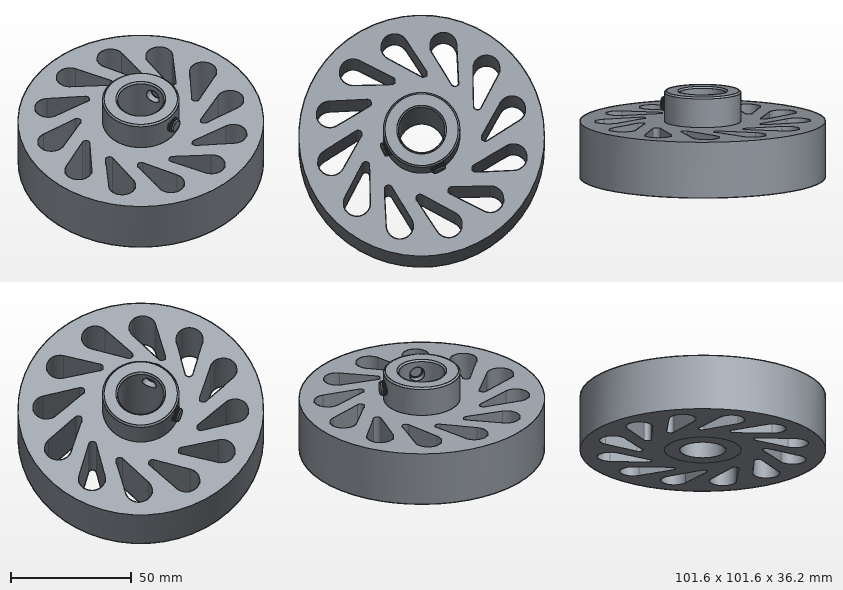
import cadquery as cq
import math

wheel_radius = 50.8
wheel_height = 23.5
slot_count = 12

slot_outer_radius = 5.6
slot_outer_center = cq.Vector(slot_outer_radius, 38.6)
slot_tip_radius = 1.6
slot_tip_center = cq.Vector(11.7, 23.6)

hub_radius = 15.8
hub_projection = 12.7
hub_height = wheel_height + hub_projection
bore_radius = 9.5
hub_chamfer = 0.7

screw_directions = [cq.Vector(1, 0, 0), cq.Vector(0, 1, 0)]
screw_axis_height = wheel_height + hub_projection / 2
screw_outer_end = 17.7
thread_crest_radius = 3.1
thread_root_radius = 2.5
lead_crest_radius = 2.9
thread_pitch = 0.9
thread_crest_flat = thread_pitch / 8
thread_root_flat = thread_pitch / 4
thread_count = 6
screw_end_land = 0.2
screw_length = thread_count * thread_pitch + 2 * screw_end_land


def make_slot_cutter():
    """Teardrop prism as tall as the wheel, bounded by two arcs and their common tangents."""
    axis = slot_tip_center - slot_outer_center
    axis_angle = math.atan2(axis.y, axis.x)
    tangent_angle = math.acos((slot_outer_radius - slot_tip_radius) / axis.Length)

    def rim_point(center, radius, angle):
        return center + cq.Vector(radius * math.cos(angle), radius * math.sin(angle))

    left = axis_angle + tangent_angle
    right = axis_angle - tangent_angle
    outer_left = rim_point(slot_outer_center, slot_outer_radius, left)
    outer_back = rim_point(slot_outer_center, slot_outer_radius, axis_angle + math.pi)
    outer_right = rim_point(slot_outer_center, slot_outer_radius, right)
    tip_left = rim_point(slot_tip_center, slot_tip_radius, left)
    tip_front = rim_point(slot_tip_center, slot_tip_radius, axis_angle)
    tip_right = rim_point(slot_tip_center, slot_tip_radius, right)

    return (
        cq.Workplane("XY")
        .moveTo(outer_left.x, outer_left.y)
        .threePointArc(outer_back.toTuple()[:2], outer_right.toTuple()[:2])
        .lineTo(tip_right.x, tip_right.y)
        .threePointArc(tip_front.toTuple()[:2], tip_left.toTuple()[:2])
        .close()
        .extrude(wheel_height)
    )


def make_wheel():
    """Disc with a hole for the hub and a ring of teardrop slots."""
    wheel = cq.Workplane("XY").circle(wheel_radius).circle(hub_radius).extrude(wheel_height)
    slot = make_slot_cutter()
    for i in range(slot_count):
        wheel = wheel.cut(slot.rotate((0, 0, 0), (0, 0, 1), i * 360 / slot_count))
    return wheel


def screw_plane(direction, distance):
    """Plane across a screw axis, at a distance from the wheel axis and facing outward."""
    origin = direction * distance + cq.Vector(0, 0, screw_axis_height)
    return cq.Plane(origin=origin, xDir=cq.Vector(0, 0, 1), normal=direction)


def make_hub():
    """Bored sleeve with both top edges chamfered and a radial hole for each set screw."""
    hub = cq.Workplane("XY").circle(hub_radius).circle(bore_radius).extrude(hub_height)
    hub = hub.faces(">Z").edges().chamfer(hub_chamfer)
    for direction in screw_directions:
        hole = cq.Workplane(screw_plane(direction, 0)).circle(thread_crest_radius).extrude(hub_radius)
        hub = hub.cut(hole)
    return hub


def make_set_screw(direction):
    """Set screw with ring-shaped threads; the outermost ring is lower and slopes down to the end face."""
    profile = [(0, 0), (thread_root_radius, 0)]
    for i in range(thread_count):
        is_lead = i == thread_count - 1
        crest_radius = lead_crest_radius if is_lead else thread_crest_radius
        start = screw_end_land + i * thread_pitch
        crest_middle = start + thread_pitch / 2
        flank_end = screw_length if is_lead else start + thread_pitch - thread_root_flat / 2
        profile += [
            (thread_root_radius, start + thread_root_flat / 2),
            (crest_radius, crest_middle - thread_crest_flat / 2),
            (crest_radius, crest_middle + thread_crest_flat / 2),
            (thread_root_radius, flank_end),
        ]
    profile.append((0, screw_length))

    turned = cq.Workplane("XZ").polyline(profile).close().revolve(360, (0, 0), (0, 1))
    inner_end = screw_plane(direction, screw_outer_end - screw_length)
    return turned.val().moved(cq.Location(inner_end))


wheel = make_wheel()
hub = make_hub()
set_screws = [make_set_screw(direction) for direction in screw_directions]

result = cq.Compound.makeCompound([wheel.val(), hub.val(), *set_screws])